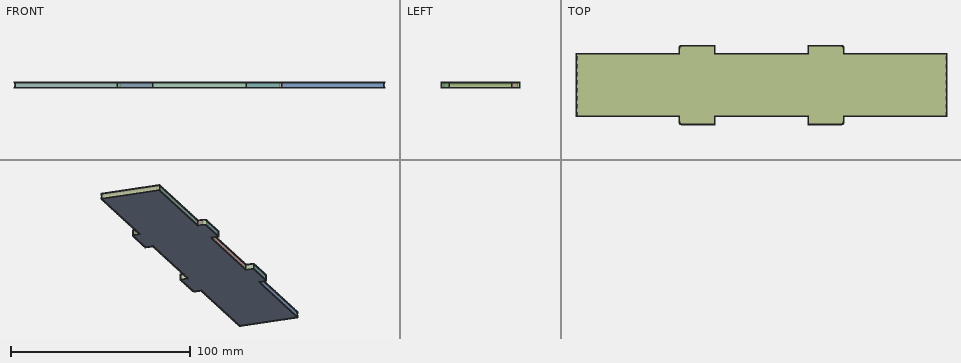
import cadquery as cq

length = 207.0
thickness = 3.1
body_width = 35.0
end_hollow_depth = 0.52

width_over_tabs = 44.0
tab_outer_span = 92.0
tab_inner_span = 52.2
tab_corner_radius = 1.5

tab_length = (tab_outer_span - tab_inner_span) / 2
tab_center_x = (tab_outer_span + tab_inner_span) / 4


def body():
    """Plain strip whose two short ends are hollowed by a shallow arc across the thickness."""
    end_x = length / 2
    hollow_x = end_x - end_hollow_depth
    top_z = thickness / 2
    return (
        cq.Workplane("XZ")
        .moveTo(-end_x, top_z)
        .lineTo(end_x, top_z)
        .threePointArc((hollow_x, 0), (end_x, -top_z))
        .lineTo(-end_x, -top_z)
        .threePointArc((-hollow_x, 0), (-end_x, top_z))
        .close()
        .extrude(body_width / 2, both=True)
    )


def tab_pair(side):
    """Bar across the plate whose ends form two opposite tabs; side is -1 or +1 along X."""
    outer_edges = "|Z and >X" if side > 0 else "|Z and <X"
    return (
        cq.Workplane("XY")
        .box(tab_length, width_over_tabs, thickness)
        .edges(outer_edges)
        .fillet(tab_corner_radius)
        .translate((side * tab_center_x, 0, 0))
    )


result = body()
for side in (-1, 1):
    result = result.union(tab_pair(side))